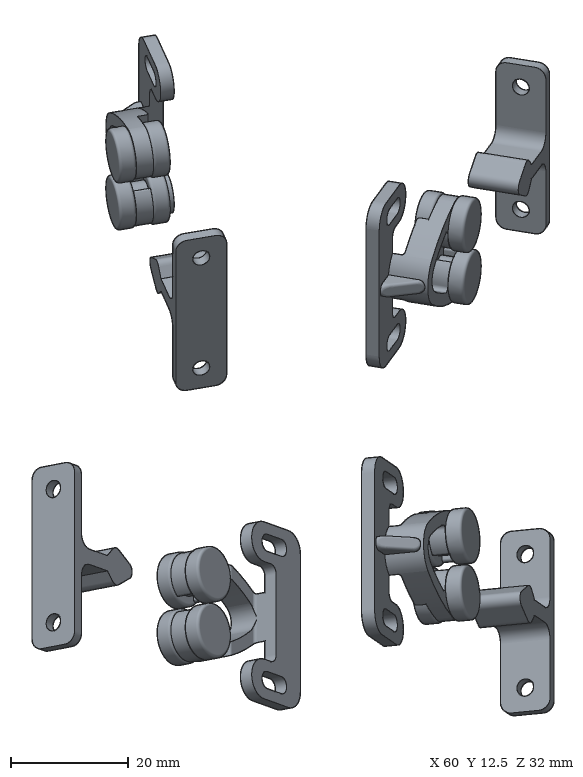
import cadquery as cq
import math


plate_thickness = 2.4
plate_height = 31.2
web_width = 7.0
ear_length = 14.0
ear_height = 7.0
plate_corner_radius = ear_height / 2
inner_corner_radius = 1.5
ear_center_z = (plate_height - ear_height) / 2
slot_width = 3.0
slot_length = 7.0
slot_center_x = 7.5

roller_radius = 4.75
roller_edge_radius = 0.5
flange_width = 3.0
pin_radius = 3.0
roller_center_x = 19.75
roller_center_z = 5.0

arm_width = 3.0
arm_wall = 2.25
arm_front_y = -9.5
arm_back_y = arm_front_y + arm_width
roller_front_y = arm_front_y - flange_width
roller_back_y = arm_back_y + flange_width
wide_arm_back_y = -4.5
wide_arm_end_x = ear_length
step_radius = 0.5
nose_x = 4.75
nose_radius = 5.25
nose_center_x = nose_x + nose_radius
arm_bend_radius = 30.0
eye_radius = 4.5
eye_blend_radius = 0.75
mouth_width = 4.0
mouth_lip_radius = 0.5

gusset_width = 2.4
gusset_start_x = 0.4
gusset_end_y = -9.2
gusset_end_inset = 0.2
gusset_root_overlap = 0.2
gusset_edge_radius = 0.5

striker_height = 32.0
striker_back_x = 60.0
striker_thickness = 2.0
striker_front_x = striker_back_x - striker_thickness
striker_width = 2 * flange_width + arm_width
striker_corner_radius = 2.0
striker_hole_diameter = 3.0
striker_hole_z = 11.75
stem_half_height = 1.35
stem_blend_radius = 2.35
head_base_x = 50.6
head_tip_x = 43.5
head_tip_radius = 1.5
head_shoulder_radius = 1.5
head_half_angle = math.radians(30)


def front_plane(y):
    """Sketch plane facing -Y, with local x along X and local y along Z."""
    return cq.Workplane("XZ", origin=(0, y, 0))


def point_on_circle(center, radius, angle):
    return (center[0] + radius * math.cos(angle), center[1] + radius * math.sin(angle))


def direction(start, end):
    return math.atan2(end[1] - start[1], end[0] - start[0])


def mirrored(point):
    return (point[0], -point[1])


def make_plate():
    ear_round_x = ear_length - ear_height / 2
    web = front_plane(0).rect(web_width, plate_height).extrude(plate_thickness)
    plate = web.translate((web_width / 2, 0, 0))
    for side in (1, -1):
        center_z = side * ear_center_z
        ear = front_plane(0).center(ear_round_x / 2, center_z).rect(ear_round_x, ear_height)
        ear_round = front_plane(0).center(ear_round_x, center_z).circle(ear_height / 2)
        plate = plate.union(ear.extrude(plate_thickness)).union(ear_round.extrude(plate_thickness))
    plate = plate.edges("|Y and <X").fillet(plate_corner_radius)
    inner_corner_z = ear_center_z - ear_height / 2
    for side in (1, -1):
        corner = cq.selectors.NearestToPointSelector((web_width, -plate_thickness / 2, side * inner_corner_z))
        plate = plate.edges("|Y").edges(corner).fillet(inner_corner_radius)
    slots = (
        front_plane(0)
        .pushPoints([(slot_center_x, ear_center_z), (slot_center_x, -ear_center_z)])
        .slot2D(slot_length, slot_width)
        .extrude(plate_thickness)
    )
    return plate.cut(slots)


def arm_bend_center():
    """Center of the upper arm's bend, which is tangent to both the nose arc and the eye."""
    nose = (nose_center_x, 0)
    eye = (roller_center_x, roller_center_z)
    to_nose = arm_bend_radius - nose_radius
    to_eye = arm_bend_radius - eye_radius
    span = math.dist(nose, eye)
    cos_corner = (to_nose**2 + span**2 - to_eye**2) / (2 * to_nose * span)
    return point_on_circle(nose, to_nose, direction(nose, eye) - math.acos(cos_corner))


def make_arm_band():
    """Constant-wall band: an arm bend, the nose and the other arm bend, all tangent."""
    bend = arm_bend_center()
    nose_angle = direction(bend, (nose_center_x, 0))
    eye_angle = direction(bend, (roller_center_x, roller_center_z))
    mid_angle = (nose_angle + eye_angle) / 2
    outer_eye, outer_mid, outer_nose = (
        point_on_circle(bend, arm_bend_radius, angle) for angle in (eye_angle, mid_angle, nose_angle)
    )
    inner_eye, inner_mid, inner_nose = (
        point_on_circle(bend, arm_bend_radius - arm_wall, angle)
        for angle in (eye_angle, mid_angle, nose_angle)
    )
    return (
        front_plane(0)
        .moveTo(*outer_eye)
        .threePointArc(outer_mid, outer_nose)
        .threePointArc((nose_x, 0), mirrored(outer_nose))
        .threePointArc(mirrored(outer_mid), mirrored(outer_eye))
        .lineTo(*mirrored(inner_eye))
        .threePointArc(mirrored(inner_mid), mirrored(inner_nose))
        .threePointArc((nose_x + arm_wall, 0), inner_nose)
        .threePointArc(inner_mid, inner_eye)
        .close()
        .extrude(-arm_front_y)
    )


def make_arm_steps():
    """Depth of the arms along X: post at the plate, wide part, then thin part to the eyes."""
    end_x = roller_center_x + eye_radius
    return (
        cq.Workplane("XY")
        .moveTo(nose_x, arm_front_y)
        .lineTo(end_x, arm_front_y)
        .lineTo(end_x, arm_back_y)
        .lineTo(wide_arm_end_x, arm_back_y)
        .lineTo(wide_arm_end_x, wide_arm_back_y - step_radius)
        .radiusArc((wide_arm_end_x - step_radius, wide_arm_back_y), -step_radius)
        .lineTo(web_width + step_radius, wide_arm_back_y)
        .radiusArc((web_width, wide_arm_back_y + step_radius), step_radius)
        .lineTo(web_width, -plate_thickness)
        .lineTo(nose_x, -plate_thickness)
        .close()
        .extrude(plate_height / 2, both=True)
    )


def make_arms():
    arms = make_arm_band().intersect(make_arm_steps())
    for side in (1, -1):
        center_z = side * roller_center_z
        eye = front_plane(arm_back_y).center(roller_center_x, center_z).circle(eye_radius).extrude(arm_width)
        arms = arms.union(eye)
        inner_joint = cq.selectors.NearestToPointSelector(
            (roller_center_x - eye_radius, (arm_front_y + arm_back_y) / 2, center_z)
        )
        arms = arms.edges("|Y").edges(inner_joint).fillet(eye_blend_radius)
    for side in (1, -1):
        center_z = side * roller_center_z
        bore = front_plane(arm_back_y).center(roller_center_x, center_z).circle(pin_radius).extrude(arm_width)
        mouth = (
            front_plane(arm_back_y)
            .center(roller_center_x, center_z - side * eye_radius / 2)
            .rect(mouth_width, eye_radius)
            .extrude(arm_width)
        )
        arms = arms.cut(bore).cut(mouth)
        lip_z = center_z - side * math.sqrt(eye_radius**2 - (mouth_width / 2) ** 2)
        for end in (1, -1):
            lip = cq.selectors.NearestToPointSelector(
                (roller_center_x + end * mouth_width / 2, (arm_front_y + arm_back_y) / 2, lip_z)
            )
            arms = arms.edges("|Y").edges(lip).fillet(mouth_lip_radius)
    return arms


def make_gusset():
    """Sloped rib with a round end at the plate, a round end at the nose and a rounded slope."""
    half_width = gusset_width / 2
    root_x = nose_center_x - math.sqrt(nose_radius**2 - half_width**2) + gusset_root_overlap
    wedge = (
        cq.Workplane("XY")
        .moveTo(gusset_start_x, -plate_thickness)
        .lineTo(nose_x, gusset_end_y)
        .lineTo(root_x, gusset_end_y)
        .lineTo(root_x, -plate_thickness)
        .close()
        .extrude(half_width, both=True)
    )
    plate_end_x = gusset_start_x + gusset_end_inset
    nose_end_y = gusset_end_y + gusset_end_inset
    round_at_plate = (
        front_plane(-plate_thickness)
        .moveTo(root_x, half_width)
        .lineTo(plate_end_x + half_width, half_width)
        .threePointArc((plate_end_x, 0), (plate_end_x + half_width, -half_width))
        .lineTo(root_x, -half_width)
        .close()
        .extrude(-plate_thickness - gusset_end_y)
    )
    round_at_nose = (
        cq.Workplane("YZ", origin=(gusset_start_x, 0, 0))
        .moveTo(-plate_thickness, half_width)
        .lineTo(nose_end_y + half_width, half_width)
        .threePointArc((nose_end_y, 0), (nose_end_y + half_width, -half_width))
        .lineTo(-plate_thickness, -half_width)
        .close()
        .extrude(root_x - gusset_start_x)
    )
    rib = wedge.intersect(round_at_plate).intersect(round_at_nose)
    slope_normal = (gusset_end_y + plate_thickness, gusset_start_x - nose_x, 0)
    slope = cq.selectors.DirectionMinMaxSelector(cq.Vector(*slope_normal))
    return rib.faces(slope).edges().fillet(gusset_edge_radius)


def make_bracket():
    return make_plate().union(make_arms()).union(make_gusset())


def make_roller(center_z):
    """Two rounded flanges joined by a pin that fills the arm eye."""
    roller = front_plane(arm_back_y).center(roller_center_x, center_z).circle(pin_radius).extrude(arm_width)
    for back_y in (roller_back_y, arm_front_y):
        flange = (
            front_plane(back_y)
            .center(roller_center_x, center_z)
            .circle(roller_radius)
            .extrude(flange_width)
            .edges()
            .fillet(roller_edge_radius)
        )
        roller = roller.union(flange)
    return roller


def make_striker():
    center_y = (roller_front_y + roller_back_y) / 2
    plate = (
        cq.Workplane("YZ", origin=(striker_front_x, center_y, 0))
        .rect(striker_width, striker_height)
        .extrude(striker_thickness)
        .edges("|X")
        .fillet(striker_corner_radius)
        .faces("<X")
        .workplane(origin=(striker_front_x, center_y, 0))
        .pushPoints([(0, striker_hole_z), (0, -striker_hole_z)])
        .hole(striker_hole_diameter)
    )
    apex_x = head_tip_x + head_tip_radius - head_tip_radius / math.sin(head_half_angle)
    flare = math.tan(head_half_angle)
    shoulder_x = (head_base_x + stem_half_height + apex_x * flare) / (1 + flare)
    shoulder_z = (shoulder_x - apex_x) * flare
    head = (
        front_plane(roller_back_y)
        .polyline([
            (apex_x, 0),
            (shoulder_x, shoulder_z),
            (head_base_x, stem_half_height),
            (head_base_x, -stem_half_height),
            (shoulder_x, -shoulder_z),
        ])
        .close()
        .extrude(striker_width)
    )
    head = head.edges("|Y and <X").fillet(head_tip_radius)
    head = head.edges("|Y and (>Z or <Z)").fillet(head_shoulder_radius)
    stem_end_x = striker_front_x - stem_blend_radius
    blend_end_z = stem_half_height + stem_blend_radius
    stem = (
        front_plane(roller_back_y)
        .moveTo(head_base_x, stem_half_height)
        .lineTo(stem_end_x, stem_half_height)
        .radiusArc((striker_front_x, blend_end_z), -stem_blend_radius)
        .lineTo(striker_front_x, -blend_end_z)
        .radiusArc((stem_end_x, -stem_half_height), -stem_blend_radius)
        .lineTo(head_base_x, -stem_half_height)
        .close()
        .extrude(striker_width)
    )
    return plate.union(stem).union(head)


bracket = make_bracket()
rollers = [make_roller(side * roller_center_z) for side in (1, -1)]
striker = make_striker()

result = cq.Compound.makeCompound([
    bracket.val(),
    *(roller.val() for roller in rollers),
    striker.val(),
])